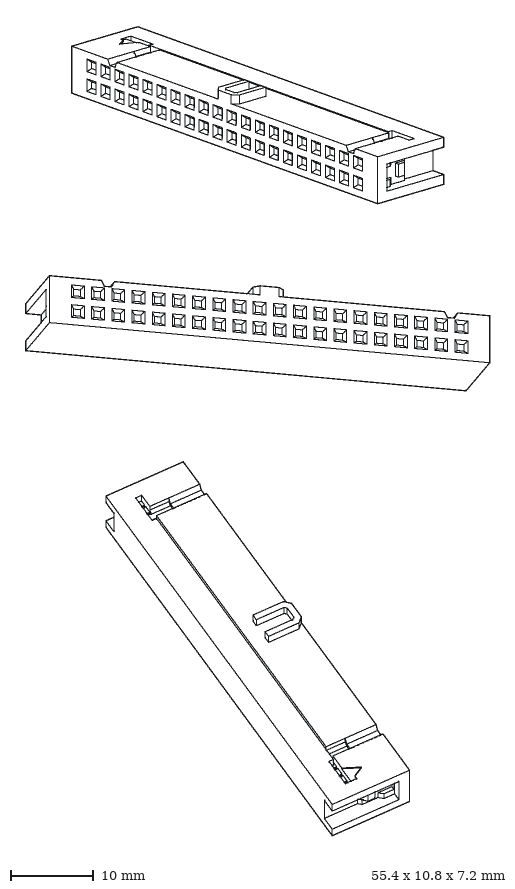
import cadquery as cq

LENGTH = 55.4
WIDTH = 10.8
TOTAL_HEIGHT = 7.2
KEY_HEIGHT = 1.15
BODY_HEIGHT = TOTAL_HEIGHT - KEY_HEIGHT
MID_HEIGHT = BODY_HEIGHT / 2
END = LENGTH / 2

SOCKET_COLUMNS = 20
SOCKET_ROWS = 2
SOCKET_SPAN = 48.25
SOCKET_PITCH = SOCKET_SPAN / (SOCKET_COLUMNS - 1)
SOCKET_MOUTH = 1.6
SOCKET_THROAT = 0.85
SOCKET_DEPTH = 0.415

KEY_WIDTH = 3.8
KEY_LENGTH = 5.0
KEY_WALL = 0.85
KEY_CHAMFER = 0.7
KEY_INNER_CHAMFER = 0.3

CABLE_WIRES = SOCKET_COLUMNS * SOCKET_ROWS
CABLE_PITCH = SOCKET_PITCH / SOCKET_ROWS
SLOT_FRONT = 7.0
SLOT_WIDTH = 0.85
SLOT_GAP = 0.2
SLOT_MARGIN = 2.05
SLOT_END_LENGTH = 4.0
SLOT_DEPTH = 1.1
SLIT_WIDTH = 0.3
SLIT_DEPTH = 0.15
SLITS_PER_END = 3

MARK_DEPTH = 0.15
MARK_STEP_Y = 6.2
MARK_STEP_LENGTH = 0.5
MARK_TIP_X = 3.3
MARK_TIP_Y = 4.8
MARK_RIGHT = 4.4

GROOVE_WIDTH = 1.65
GROOVE_TAPER = 0.4
GROOVE_DEPTH = 0.7
GROOVE_PIT_START = 4.3
GROOVE_PIT_DEPTH = 1.1
LEFT_GROOVE_X = -END + 7.35
RIGHT_GROOVE_X = END - 4.9

RECESS_HEIGHT = 3.5
RECESS_FRONT = 1.5
LATCH_HEIGHT = 1.65
BACK_DEPTH = 1.95
MIDDLE_DEPTH = 1.55
FRONT_DEPTH = 1.05
HOOK_DEPTH = 1.0
CHANNEL_FRONT = 1.6
FRONT_STEP_START = 3.0
FRONT_STEP_END = 3.55
HOOK_FRONT = 4.25
HOOK_RAMP_START = 5.25
MIDDLE_STEP_START = 5.75
MIDDLE_STEP_END = 6.15


def box(x_min, x_max, y_min, y_max, z_min, z_max):
    """Axis-aligned box given by its limits."""
    block = cq.Workplane("XY").box(x_max - x_min, y_max - y_min, z_max - z_min, centered=False)
    return block.translate((x_min, y_min, z_min))


def socket(x, z):
    """Square funnel narrowing inward from the mating face."""
    return (
        cq.Workplane("XZ", origin=(x, 0, z))
        .rect(SOCKET_MOUTH, SOCKET_MOUTH)
        .workplane(offset=-SOCKET_DEPTH)
        .rect(SOCKET_THROAT, SOCKET_THROAT)
        .loft(ruled=True)
    )


def key():
    """U-shaped rib, open toward the back, with chamfered front corners."""
    half = KEY_WIDTH / 2
    outer = (
        cq.Workplane("XY", origin=(0, 0, BODY_HEIGHT))
        .polyline([
            (-half, KEY_LENGTH),
            (-half, KEY_CHAMFER),
            (-half + KEY_CHAMFER, 0),
            (half - KEY_CHAMFER, 0),
            (half, KEY_CHAMFER),
            (half, KEY_LENGTH),
        ])
        .close()
        .extrude(KEY_HEIGHT)
    )
    inner = half - KEY_WALL
    opening = box(-inner, inner, KEY_WALL, KEY_LENGTH, BODY_HEIGHT, TOTAL_HEIGHT)
    opening = opening.faces("<Y").edges("|Z").chamfer(KEY_INNER_CHAMFER)
    return outer.cut(opening)


def cable_slot():
    """Thin gap that widens at both ends, with contact slits in the wide floors."""
    half = END - SLOT_MARGIN
    floor = BODY_HEIGHT - SLOT_DEPTH
    slot_back = SLOT_FRONT + SLOT_WIDTH
    slot = box(-half, half, SLOT_FRONT, SLOT_FRONT + SLOT_GAP, floor, BODY_HEIGHT)
    first_slit = (CABLE_WIRES - 1) / 2 * CABLE_PITCH
    for side in (-1, 1):
        limits = sorted((side * half, side * (half - SLOT_END_LENGTH)))
        slot = slot.union(box(*limits, SLOT_FRONT, slot_back, floor, BODY_HEIGHT))
        for index in range(SLITS_PER_END):
            x = side * (first_slit - index * CABLE_PITCH)
            slit = box(x - SLIT_WIDTH / 2, x + SLIT_WIDTH / 2, SLOT_FRONT, slot_back,
                       floor - SLIT_DEPTH, BODY_HEIGHT)
            slot = slot.union(slit)
    return slot


def pin_one_mark():
    """Shallow triangle with a small step at its outer corner."""
    outer = -END + SLOT_MARGIN
    return (
        cq.Workplane("XY", origin=(0, 0, BODY_HEIGHT - MARK_DEPTH))
        .polyline([
            (outer, SLOT_FRONT),
            (outer, MARK_STEP_Y),
            (outer + MARK_STEP_LENGTH, MARK_STEP_Y),
            (-END + MARK_TIP_X, MARK_TIP_Y),
            (-END + MARK_RIGHT, SLOT_FRONT),
        ])
        .close()
        .extrude(MARK_DEPTH)
    )


def tapered_channel(x, y_start, wall_depth, depth):
    """Channel from y_start to the slot: upright down to wall_depth, then tapered to its floor."""
    half = GROOVE_WIDTH / 2
    floor_half = half - GROOVE_TAPER
    outline = [
        (half, BODY_HEIGHT - wall_depth),
        (floor_half, BODY_HEIGHT - depth),
        (-floor_half, BODY_HEIGHT - depth),
        (-half, BODY_HEIGHT - wall_depth),
    ]
    if wall_depth > 0:
        outline = [(half, BODY_HEIGHT)] + outline + [(-half, BODY_HEIGHT)]
    channel = cq.Workplane("XZ", origin=(x, y_start, 0)).polyline(outline).close()
    return channel.extrude(y_start - SLOT_FRONT)


def groove(x):
    """Shallow channel with a deeper pit next to the slot."""
    shallow = tapered_channel(x, 0, 0, GROOVE_DEPTH)
    return shallow.union(tapered_channel(x, GROOVE_PIT_START, GROOVE_DEPTH, GROOVE_PIT_DEPTH))


def recess_layer(floor_points, height):
    """Left-end cut whose floor follows (depth, Y) points, centred on mid height."""
    first_y = floor_points[0][1]
    last_y = floor_points[-1][1]
    outline = [(-END, first_y)]
    outline += [(-END + depth, y) for depth, y in floor_points]
    outline += [(-END, last_y)]
    return (
        cq.Workplane("XY", origin=(0, 0, MID_HEIGHT - height / 2))
        .polyline(outline)
        .close()
        .extrude(height)
    )


def end_recess():
    """Stepped latch recess of the left end, open at the back."""
    back = [
        (MIDDLE_DEPTH, MIDDLE_STEP_START),
        (BACK_DEPTH, MIDDLE_STEP_END),
        (BACK_DEPTH, WIDTH),
    ]
    full = recess_layer(
        [
            (FRONT_DEPTH, RECESS_FRONT),
            (FRONT_DEPTH, FRONT_STEP_START),
            (MIDDLE_DEPTH, FRONT_STEP_END),
        ] + back,
        RECESS_HEIGHT,
    )
    channel = recess_layer([(MIDDLE_DEPTH, CHANNEL_FRONT), (MIDDLE_DEPTH, HOOK_FRONT)], LATCH_HEIGHT)
    hook = (
        cq.Workplane("XY", origin=(0, 0, MID_HEIGHT - LATCH_HEIGHT / 2))
        .polyline([
            (-END + BACK_DEPTH, HOOK_FRONT),
            (-END + HOOK_DEPTH, HOOK_FRONT),
            (-END + HOOK_DEPTH, HOOK_RAMP_START),
            (-END + BACK_DEPTH, MIDDLE_STEP_END),
        ])
        .close()
        .extrude(LATCH_HEIGHT)
    )
    return full.union(channel).cut(hook)


body = box(-END, END, 0, WIDTH, 0, BODY_HEIGHT).union(key())

for column in range(SOCKET_COLUMNS):
    for row in range(SOCKET_ROWS):
        socket_x = (column - (SOCKET_COLUMNS - 1) / 2) * SOCKET_PITCH
        socket_z = MID_HEIGHT + (row - (SOCKET_ROWS - 1) / 2) * SOCKET_PITCH
        body = body.cut(socket(socket_x, socket_z))

body = body.cut(cable_slot()).cut(pin_one_mark())
body = body.cut(groove(LEFT_GROOVE_X)).cut(groove(RIGHT_GROOVE_X))

left_recess = end_recess()
result = body.cut(left_recess).cut(left_recess.mirror("YZ"))